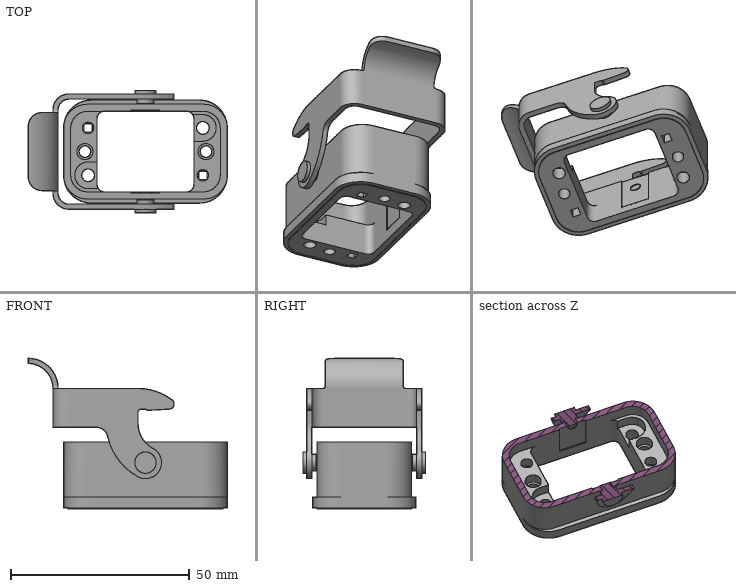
import cadquery as cq
import math

housing_length = 46.0
housing_width = 26.6
housing_height = 18.85
wall = 2.0
wall_radius = 6.65
cavity_length = housing_length - 2 * wall
cavity_width = housing_width - 2 * wall
cavity_radius = 4.75

flange_width = 29.0
flange_top = 3.35
flange_radius = wall_radius + (flange_width - housing_width) / 2
foot_height = 0.3
foot_inset = 1.2

floor_top = 9.4
window_length = 27.1
window_radius = 2.0

screw_x = 17.0
screw_diameter = 3.2
screw_head_diameter = 4.5
screw_head_depth = 3.2
corner_hole_x = 16.1
corner_hole_y = 6.65
corner_hole_diameter = 3.5
recess_radius = 3.75
recess_depth = 3.2
square_seat_diameter = 3.2
square_seat_depth = 3.2
square_side = square_seat_diameter / math.sqrt(2)

pin_z = 13.0
pin_diameter = 3.0
pin_shoulder_diameter = 4.8
pin_head_diameter = 6.0
pin_head_height = 1.0
pin_end_y = 11.45
boss_diameter = 4.5
boss_height = 0.25
boss_face_y = housing_width / 2 + boss_height
pin_pocket_width = 8.0
pin_pocket_depth = 0.35
pin_pocket_bottom = flange_top

sheet = 1.5
lever_width = 32.4
lever_back_x = -26.0
lever_bend_radius = 4.5
lever_top = 33.85
lever_band_bottom = 22.9

arm_end_radius = 4.5
band_corner_x = -13.8
band_corner_radius = 3.3
neck_x = -2.05
neck_radius = 8.0
back_curve_start = (-10.55, 19.95)
back_curve_middle = (-7.85, 14.15)
back_curve_end_angle = math.radians(238)
notch_top = 27.97
notch_radius = 0.75
notch_end_x = 0.05
hook_heel = (0.6, 27.63)
hook_toe = (6.95, 28.0)
hook_tip = (8.05, 29.6)
hook_shoulder = (7.3, 30.75)

tab_width = 22.0
tab_corner_radius = 4.0
tab_root_radius = 0.6
tab_curl_radius = 8.45


def rounded_block(length, width, radius, bottom, top):
    """Block centred on the Z axis with rounded vertical edges."""
    block = cq.Workplane("XY").box(length, width, top - bottom, centered=(True, True, False))
    return block.edges("|Z").fillet(radius).translate((0, 0, bottom))


def cylinder_z(x, y, diameter, bottom, top):
    return cq.Workplane("XY", origin=(x, y, bottom)).circle(diameter / 2).extrude(top - bottom)


def cylinder_y(side, diameter, y_inner, y_outer):
    """Cylinder on the pin axis, between two distances from the middle plane, on one side of it."""
    plane = cq.Plane(origin=(0, side * y_inner, pin_z), xDir=(1, 0, 0), normal=(0, side, 0))
    return cq.Workplane(plane).circle(diameter / 2).extrude(y_outer - y_inner)


def ledge_cutters():
    """Everything cut from the ledge at the +X end."""
    screw = cylinder_z(screw_x, 0, screw_diameter, 0, floor_top)
    screw_head = cylinder_z(screw_x, 0, screw_head_diameter, floor_top - screw_head_depth, floor_top)
    corner_hole = cylinder_z(corner_hole_x, corner_hole_y, corner_hole_diameter, 0, floor_top)
    recess_bottom = floor_top - recess_depth
    recess_end = cylinder_z(corner_hole_x, corner_hole_y, 2 * recess_radius, recess_bottom, floor_top)
    recess_run = (
        cq.Workplane("XY", origin=(corner_hole_x / 2, corner_hole_y, recess_bottom))
        .rect(corner_hole_x, 2 * recess_radius)
        .extrude(recess_depth)
    )
    seat_bottom = floor_top - square_seat_depth
    square_seat = cylinder_z(corner_hole_x, -corner_hole_y, square_seat_diameter, seat_bottom, floor_top)
    square_hole = (
        cq.Workplane("XY", origin=(corner_hole_x, -corner_hole_y, 0))
        .rect(square_side, square_side)
        .extrude(floor_top)
    )
    cutters = screw
    for cutter in (screw_head, corner_hole, recess_end, recess_run, square_seat, square_hole):
        cutters = cutters.union(cutter)
    return cutters


def make_housing():
    shell = rounded_block(housing_length, housing_width, wall_radius, foot_height, housing_height)
    flange = rounded_block(housing_length, flange_width, flange_radius, foot_height, flange_top)
    foot = rounded_block(
        housing_length - 2 * foot_inset,
        flange_width - 2 * foot_inset,
        flange_radius - foot_inset,
        0,
        foot_height,
    )
    body = shell.union(flange).union(foot)
    body = body.cut(rounded_block(cavity_length, cavity_width, cavity_radius, floor_top, housing_height))
    body = body.cut(rounded_block(window_length, cavity_width, window_radius, 0, floor_top))

    cutters = ledge_cutters()
    for turn in (0, 180):
        body = body.cut(cutters.rotate((0, 0, 0), (0, 0, 1), turn))

    pin_pockets = (
        cq.Workplane("XY", origin=(0, 0, pin_pocket_bottom))
        .rect(pin_pocket_width, cavity_width + 2 * pin_pocket_depth)
        .extrude(housing_height - pin_pocket_bottom)
    )
    body = body.cut(pin_pockets)

    for side in (-1, 1):
        body = body.union(cylinder_y(side, boss_diameter, housing_width / 2 - wall / 2, boss_face_y))
        body = body.cut(cylinder_y(side, pin_diameter, pin_end_y, boss_face_y))
    return body


def arm_outline():
    """Side outline of the lever in XZ, running from the back of the band around the hook and arm."""
    neck_centre_x = neck_x + neck_radius
    centre_distance = neck_radius + arm_end_radius
    neck_centre_z = pin_z + math.sqrt(centre_distance**2 - neck_centre_x**2)
    neck_angle = math.atan2(neck_centre_z - pin_z, neck_centre_x)
    arm_end_start = (arm_end_radius * math.cos(neck_angle), pin_z + arm_end_radius * math.sin(neck_angle))
    neck_middle_angle = math.pi + neck_angle / 2
    neck_middle = (
        neck_centre_x + neck_radius * math.cos(neck_middle_angle),
        neck_centre_z + neck_radius * math.sin(neck_middle_angle),
    )
    arm_end_middle_angle = math.radians(-45)
    arm_end_middle = (
        arm_end_radius * math.cos(arm_end_middle_angle),
        pin_z + arm_end_radius * math.sin(arm_end_middle_angle),
    )
    arm_end_stop = (
        arm_end_radius * math.cos(back_curve_end_angle),
        pin_z + arm_end_radius * math.sin(back_curve_end_angle),
    )
    return (
        cq.Workplane("XZ")
        .moveTo(lever_back_x, lever_band_bottom)
        .lineTo(lever_back_x, lever_top)
        .lineTo(neck_x, lever_top)
        .tangentArcPoint(hook_shoulder, relative=False)
        .threePointArc(hook_tip, hook_toe)
        .lineTo(*hook_heel)
        .lineTo(notch_end_x, notch_top)
        .lineTo(neck_x + notch_radius, notch_top)
        .radiusArc((neck_x, notch_top - notch_radius), -notch_radius)
        .lineTo(neck_x, neck_centre_z)
        .threePointArc(neck_middle, arm_end_start)
        .threePointArc(arm_end_middle, arm_end_stop)
        .threePointArc(back_curve_middle, back_curve_start)
        .radiusArc((band_corner_x, lever_band_bottom), -band_corner_radius)
        .close()
    )


def bend_block(inset):
    """Block with rounded -X corners; inset moves its back and side faces inward."""
    length = hook_tip[0] - lever_back_x + sheet
    block = cq.Workplane("XY").box(length, lever_width - 2 * inset, lever_top, centered=(False, True, False))
    return block.edges("|Z and <X").fillet(lever_bend_radius - inset).translate((lever_back_x + inset, 0, 0))


def make_band_and_arms():
    """Sheet bent into a U around the housing, trimmed to the side outline."""
    side = arm_outline().extrude(lever_width / 2, both=True)
    return bend_block(0).cut(bend_block(sheet)).intersect(side)


def make_thumb_tab():
    """Quarter-round curl rising from the band, with rounded free corners and flared root."""
    curl_x = lever_back_x + sheet - tab_curl_radius
    curl_top = lever_top + tab_curl_radius
    half_width = tab_width / 2
    root_half_width = half_width + tab_root_radius
    inner_radius = tab_curl_radius - sheet
    curl = (
        cq.Workplane("XZ")
        .moveTo(curl_x, curl_top)
        .radiusArc((curl_x + tab_curl_radius, lever_top), tab_curl_radius)
        .lineTo(curl_x + inner_radius, lever_top)
        .radiusArc((curl_x, lever_top + inner_radius), -inner_radius)
        .close()
        .extrude(root_half_width, both=True)
    )
    flared = (
        cq.Workplane("YZ", origin=(curl_x, 0, 0))
        .moveTo(-root_half_width, lever_top)
        .radiusArc((-half_width, lever_top + tab_root_radius), -tab_root_radius)
        .lineTo(-half_width, curl_top)
        .lineTo(half_width, curl_top)
        .lineTo(half_width, lever_top + tab_root_radius)
        .radiusArc((root_half_width, lever_top), -tab_root_radius)
        .close()
        .extrude(tab_curl_radius)
    )
    tab = curl.intersect(flared)
    return tab.edges("|Z and <X").fillet(tab_corner_radius)


def make_lever():
    lever = make_band_and_arms().union(make_thumb_tab())
    arm_inside_y = lever_width / 2 - sheet
    for side in (-1, 1):
        lever = lever.union(cylinder_y(side, pin_diameter, pin_end_y, boss_face_y))
        lever = lever.union(cylinder_y(side, pin_shoulder_diameter, boss_face_y, arm_inside_y))
        lever = lever.union(
            cylinder_y(side, pin_head_diameter, arm_inside_y, lever_width / 2 + pin_head_height)
        )
    return lever


housing = make_housing()
lever = make_lever()
result = cq.Compound.makeCompound([housing.val(), lever.val()])